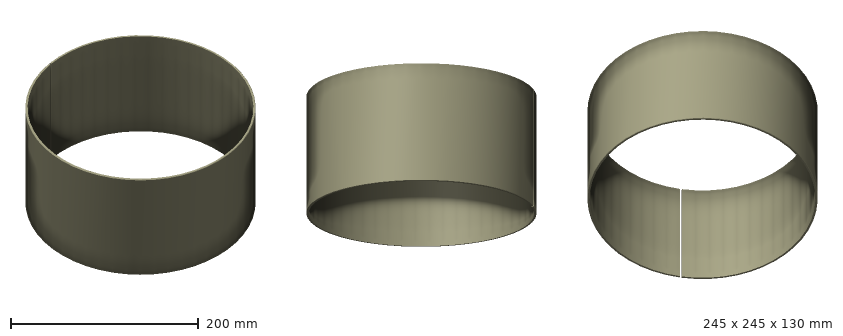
import cadquery as cq

outer_diameter = 245.0
height = 130.0
wall = 2.5
edge_chamfer = 0.5
gap_angle = 1.0

outer_radius = outer_diameter / 2
middle_radius = outer_radius - wall / 2

wall_section = (
    cq.Sketch()
    .rect(wall, height)
    .vertices("<X")
    .chamfer(edge_chamfer)
)

result = (
    cq.Workplane("XZ")
    .center(-middle_radius, height / 2)
    .placeSketch(wall_section)
    .revolve(360 - gap_angle, (middle_radius, 0, 0), (middle_radius, 1, 0))
)